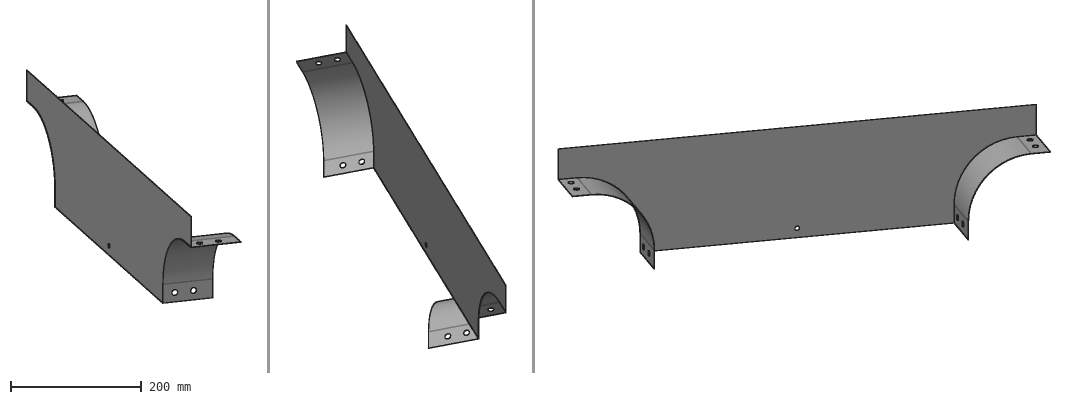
import cadquery as cq

length = 760.0
depth = 81.0
height = 180.0
sheet = 1.0

arc_radius = 99.5
tab_length = 30.5
half_length = length / 2
half_base = half_length - arc_radius - tab_length

tab_hole_diameter = 9.0
web_hole_diameter = 7.0
tab_hole_inset = tab_length / 2
hole_pitch = 30.5
tab_hole_y = 20.0
web_hole_height = 15.0

arc_centre_x = half_base + arc_radius
shelf_z = tab_length + arc_radius
cos_45 = 0.5**0.5
cutter_length = 3 * sheet


def web():
    """Upright front sheet with a concave quarter round below each end."""
    arc_mid_x = arc_centre_x - arc_radius * cos_45
    arc_mid_z = tab_length + arc_radius * cos_45
    outline = (
        cq.Workplane("XZ")
        .moveTo(-half_base, 0)
        .lineTo(half_base, 0)
        .lineTo(half_base, tab_length)
        .threePointArc((arc_mid_x, arc_mid_z), (arc_centre_x, shelf_z))
        .lineTo(half_length, shelf_z)
        .lineTo(half_length, height)
        .lineTo(-half_length, height)
        .lineTo(-half_length, shelf_z)
        .lineTo(-arc_centre_x, shelf_z)
        .threePointArc((-arc_mid_x, arc_mid_z), (-half_base, tab_length))
        .close()
    )
    return outline.extrude(-sheet)


def right_flange():
    """Curved flange following the web edge, with a flat tab at both ends."""
    outer = arc_radius + sheet
    strip = (
        cq.Workplane("XZ")
        .moveTo(half_base, 0)
        .lineTo(half_base, tab_length)
        .threePointArc(
            (arc_centre_x - arc_radius * cos_45, tab_length + arc_radius * cos_45),
            (arc_centre_x, shelf_z),
        )
        .lineTo(half_length, shelf_z)
        .lineTo(half_length, shelf_z + sheet)
        .lineTo(arc_centre_x, shelf_z + sheet)
        .threePointArc(
            (arc_centre_x - outer * cos_45, tab_length + outer * cos_45),
            (half_base - sheet, tab_length),
        )
        .lineTo(half_base - sheet, 0)
        .close()
        .extrude(-depth)
    )
    hole_rows = (tab_hole_y, tab_hole_y + hole_pitch)
    for y in hole_rows:
        upper_hole = (
            cq.Workplane("XY", origin=(half_length - tab_hole_inset, y, shelf_z - sheet))
            .circle(tab_hole_diameter / 2)
            .extrude(cutter_length)
        )
        lower_hole = (
            cq.Workplane("YZ", origin=(half_base - 2 * sheet, y, tab_hole_inset))
            .circle(tab_hole_diameter / 2)
            .extrude(cutter_length)
        )
        strip = strip.cut(upper_hole).cut(lower_hole)
    return strip


flange = right_flange()
web_hole = (
    cq.Workplane("XZ", origin=(0, -sheet, web_hole_height))
    .circle(web_hole_diameter / 2)
    .extrude(-cutter_length)
)
result = web().union(flange).union(flange.mirror("YZ")).cut(web_hole)